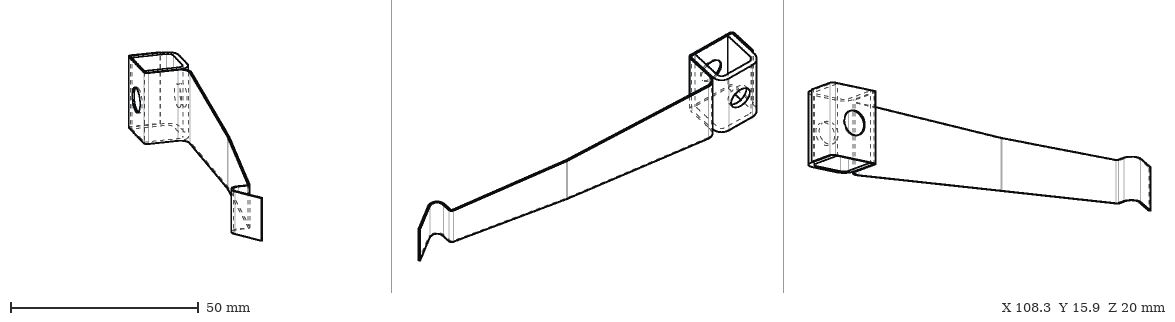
import cadquery as cq
import math

overall_length = 108.3
height = 20.0
clip_width = 15.0
sheet = 0.5

channel_back_y = 13.1
channel_wall = 1.5
channel_outer_radius = 3.0
channel_hole_diameter = 6.3

clip_bend_radius = 0.8
shoulder_radius = 2.7
arm_bend_radius = 4.3
knee_radius = 0.8
hook_radius = 2.3

spring_hole_diameter = 6.8
flange_top_y = 9.0
shoulder_y = 12.1
arm_bend_x = 62.5
arm_bend_y = 8.18
knee_x = 97.3
knee_y = 2.8
tip_y = 2.9
ramp_angle = 35.0
taper_start_x = 17.8
taper_end_x = 96.2
arm_bend_height = 14.6
tip_height = 12.0

hole_x = clip_width / 2
half_sheet = sheet / 2


def make_channel():
    """U-shaped channel, open toward the clip base, its feet rounded to sit in the clip bends."""
    outer_width = clip_width - 2 * sheet
    inner_width = outer_width - 2 * channel_wall
    depth = channel_back_y - sheet
    inner_depth = depth - channel_wall
    outer = (
        cq.Workplane("XY")
        .box(outer_width, depth, height, centered=(True, False, True))
        .edges("|Z and >Y")
        .fillet(channel_outer_radius)
        .edges("|Z and <Y")
        .fillet(clip_bend_radius - half_sheet)
    )
    inner = (
        cq.Workplane("XY")
        .box(inner_width, inner_depth, height, centered=(True, False, True))
        .edges("|Z and >Y")
        .fillet(channel_outer_radius - channel_wall)
    )
    body = outer.cut(inner).translate((hole_x, sheet, 0))
    return body.cut(hole_cutter(channel_hole_diameter))


def hole_cutter(diameter):
    """Cylinder along Y through the clip and the channel."""
    return (
        cq.Workplane("XZ")
        .center(hole_x, 0)
        .circle(diameter / 2)
        .extrude(-channel_back_y)
    )


def left_normal(direction):
    return cq.Vector(-direction.y, direction.x, 0)


def sheet_face_edges(corners, radii, offset):
    """Lines and arcs of one sheet face, offset to the left of the rounded middle path."""
    points = [cq.Vector(x, y, 0) for x, y in corners]
    directions = [(b - a).normalized() for a, b in zip(points, points[1:])]
    edges = []
    current = points[0] + left_normal(directions[0]) * offset
    for corner, radius, before, after in zip(points[1:-1], radii, directions, directions[1:]):
        turn = math.atan2(before.cross(after).z, before.dot(after))
        side = math.copysign(1, turn)
        setback = radius * math.tan(abs(turn) / 2)
        arc_start = corner - before * setback + left_normal(before) * offset
        arc_end = corner + after * setback + left_normal(after) * offset
        center = corner - before * setback + left_normal(before) * (side * radius)
        outward = (corner - center).normalized()
        arc_middle = center + outward * (radius - side * offset)
        edges.append(cq.Edge.makeLine(current, arc_start))
        edges.append(cq.Edge.makeThreePointArc(arc_start, arc_middle, arc_end))
        current = arc_end
    edges.append(cq.Edge.makeLine(current, points[-1] + left_normal(directions[-1]) * offset))
    return edges


def make_spring_profile():
    """Bent strip of full height, wrapping the channel and running out to the hooked tip."""
    right_wall_x = clip_width - half_sheet
    slope = math.radians(ramp_angle)
    tip_x = overall_length - half_sheet * math.sin(slope)
    hook_y = tip_y - (tip_x - knee_x) * math.tan(slope)
    corners = [
        (half_sheet, flange_top_y),
        (half_sheet, half_sheet),
        (right_wall_x, half_sheet),
        (right_wall_x, shoulder_y),
        (arm_bend_x, arm_bend_y),
        (knee_x, knee_y),
        (knee_x, hook_y),
        (tip_x, tip_y),
    ]
    radii = [
        clip_bend_radius,
        clip_bend_radius,
        shoulder_radius,
        arm_bend_radius,
        knee_radius,
        hook_radius,
    ]
    left_face = sheet_face_edges(corners, radii, half_sheet)
    right_face = sheet_face_edges(corners, radii, -half_sheet)
    start_cap = cq.Edge.makeLine(left_face[0].startPoint(), right_face[0].startPoint())
    end_cap = cq.Edge.makeLine(left_face[-1].endPoint(), right_face[-1].endPoint())
    outline = cq.Wire.assembleEdges([*left_face, end_cap, *reversed(right_face), start_cap])
    return cq.Workplane("XY").add(outline).toPending().extrude(height / 2, both=True)


def make_taper_envelope():
    """Prism along Y that narrows the strip in two straight tapers toward the tip."""
    upper = [
        (0, height / 2),
        (taper_start_x, height / 2),
        (arm_bend_x, arm_bend_height / 2),
        (taper_end_x, tip_height / 2),
        (overall_length, tip_height / 2),
    ]
    lower = [(x, -z) for x, z in reversed(upper)]
    return cq.Workplane("XZ").polyline(upper + lower).close().extrude(overall_length, both=True)


def make_spring():
    strip = make_spring_profile().intersect(make_taper_envelope())
    return strip.cut(hole_cutter(spring_hole_diameter))


channel = make_channel()
spring = make_spring()

result = cq.Compound.makeCompound([channel.val(), spring.val()])